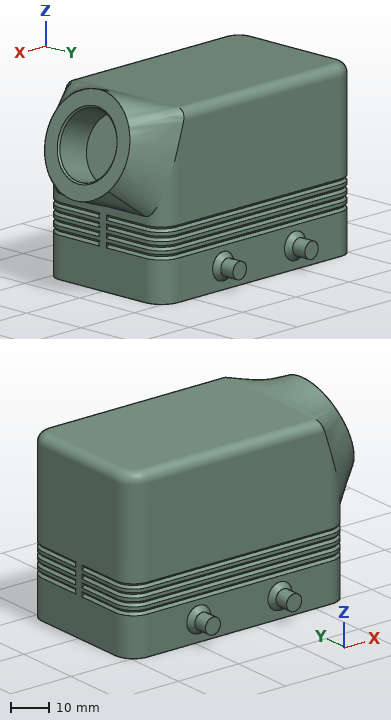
import cadquery as cq
import math

overall_length = 83.5

body_length = 73.05
body_width = 43.1
body_height = 51.9
corner_radius = 6.0
top_edge_radius = 3.0

spout_tilt = 17.7
spout_foot_height = 23.5
bore_diameter = 19.95
bore_chamfer = 0.5

groove_count = 4
groove_pitch = 2.5
groove_depth = 0.75
groove_wall_angle = 45
lowest_groove_height = 12.85
groove_gap = 2.75

pin_diameter = 5.0
pins_per_side = 2
pin_spacing = 27.0
first_pin_inset = 23.05
pin_height = 6.4
pin_span = 55.0
foot_diameter = 8.0
foot_length = 1.5

tilt = math.radians(spout_tilt)
cut_rise = body_height - spout_foot_height
cut_length = cut_rise / math.cos(tilt)
spout_diameter = cut_length
spout_length = (overall_length - body_length) / math.cos(tilt)
bore_depth = spout_length
cut_center = cq.Vector(
    body_length / 2 - cut_rise * math.tan(tilt) / 2,
    0,
    spout_foot_height + cut_rise / 2,
)
spout_direction = cq.Vector(math.cos(tilt), 0, math.sin(tilt))
spout_end_center = cut_center + spout_direction * spout_length
cut_plane = cq.Plane(origin=cut_center, xDir=(0, 1, 0), normal=spout_direction)
spout_end_plane = cq.Plane(origin=spout_end_center, xDir=(0, 1, 0), normal=spout_direction)


def make_trimmed_body():
    """Rounded block with its upper +X corner cut off along the tilted plane."""
    block = (
        cq.Workplane("XY")
        .box(body_length, body_width, body_height, centered=(True, True, False))
        .edges("|Z")
        .fillet(corner_radius)
        .faces(">Z")
        .edges()
        .fillet(top_edge_radius)
    )
    cutter_size = 2 * body_length
    corner_cutter = cq.Workplane(cut_plane).rect(cutter_size, cutter_size).extrude(cutter_size)
    return block.cut(corner_cutter)


def project_to_rim(point):
    """Point of the round end face's rim in the same radial direction as a cut outline point."""
    return spout_end_center + (point - cut_center).normalized() * (spout_diameter / 2)


def make_spout(trimmed_body):
    """Ruled blend from the tilted cut outline to the round end face."""
    cut_face = trimmed_body.faces(cq.selectors.DirectionNthSelector(spout_direction, -1)).val()
    cut_outline = cut_face.outerWire()
    rim_arcs = []
    for edge in cut_outline.Edges():
        arc_points = [project_to_rim(edge.positionAt(fraction)) for fraction in (0, 0.5, 1)]
        rim_arcs.append(cq.Edge.makeThreePointArc(*arc_points))
    rim = cq.Wire.assembleEdges(rim_arcs)
    return cq.Workplane(cq.Solid.makeLoft([cut_outline, rim], True))


def make_bore():
    """Blind bore down the spout axis with a chamfered mouth."""
    bore_radius = bore_diameter / 2
    bore = cq.Workplane(spout_end_plane).circle(bore_radius).extrude(-bore_depth)
    mouth = cq.Solid.makeCone(
        bore_radius + bore_chamfer,
        bore_radius,
        bore_chamfer,
        pnt=spout_end_center,
        dir=spout_direction * -1,
    )
    return bore.union(cq.Workplane(mouth))


def make_flared_core(height, rise):
    """Body outline drawn in by the groove depth at the given height, flaring out over the rise."""
    return (
        cq.Workplane("XY", origin=(0, 0, height))
        .sketch()
        .rect(body_length - 2 * groove_depth, body_width - 2 * groove_depth)
        .vertices()
        .fillet(corner_radius - groove_depth)
        .finalize()
        .extrude(rise, taper=-groove_wall_angle)
    )


def make_groove(height):
    """V-shaped ring around the body, missing its middle part on the end walls."""
    ring = (
        cq.Workplane("XY", origin=(0, 0, height))
        .box(2 * body_length, 2 * body_width, 2 * groove_depth)
        .cut(make_flared_core(height, groove_depth))
        .cut(make_flared_core(height, -groove_depth))
    )
    gap = cq.Workplane("XY", origin=(0, 0, height)).box(2 * body_length, groove_gap, body_height)
    return ring.cut(gap)


def make_pin(x, side):
    """Pin with conical foot, pointing along +Y (side = 1) or -Y (side = -1)."""
    wall = cq.Vector(x, side * body_width / 2, pin_height)
    outward = cq.Vector(0, side, 0)
    foot = cq.Solid.makeCone(foot_diameter / 2, pin_diameter / 2, foot_length, pnt=wall, dir=outward)
    pin_length = (pin_span - body_width) / 2
    pin = cq.Solid.makeCylinder(pin_diameter / 2, pin_length, pnt=wall, dir=outward)
    return cq.Workplane(foot.fuse(pin))


hood = make_trimmed_body()
hood = hood.union(make_spout(hood))
hood = hood.cut(make_bore())

for index in range(groove_count):
    hood = hood.cut(make_groove(lowest_groove_height + index * groove_pitch))

for index in range(pins_per_side):
    pin_x = -body_length / 2 + first_pin_inset + index * pin_spacing
    for pin_side in (-1, 1):
        hood = hood.union(make_pin(pin_x, pin_side))

result = hood